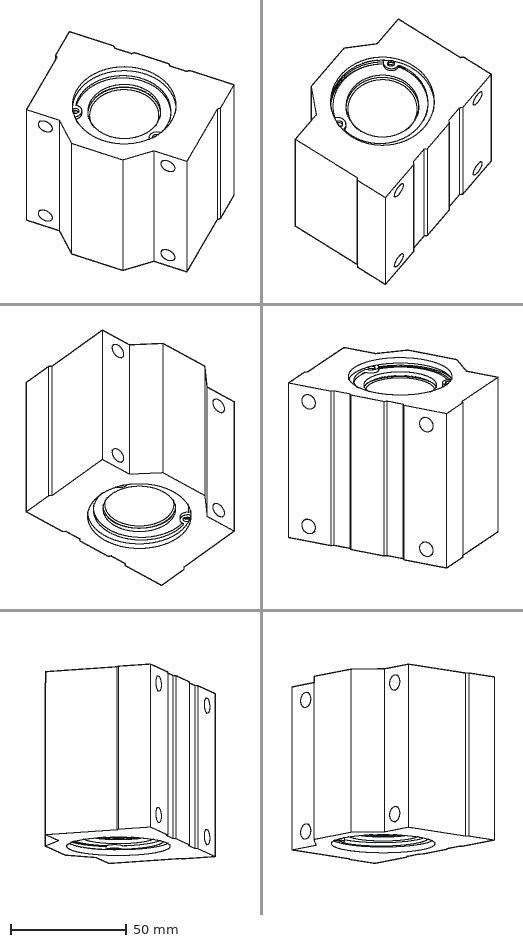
import cadquery as cq
import math


block_width = 78.0
block_depth = 59.5
block_height = 72.0
back_y = 30.0
front_y = back_y - block_depth
step = 1.0
side_step_y = 15.1
nose_half_width = 12.1
nose_depth = 10.3
groove_outer_x = 18.0
groove_inner_x = 8.1

mount_hole_diameter = 6.6
mount_hole_spacing = 58.0

bearing_diameter = 45.0
bearing_length = 63.95
bearing_chamfer_radial = 1.0
bearing_chamfer_axial = 1.7
bearing_bore = 30.0
bearing_mouth_diameter = 31.6
bearing_mouth_depth = 1.9
seal_groove_diameter = 33.2
seal_groove_width = 0.6

ring_thickness = 1.5
ring_outer_diameter = 47.5
ring_inner_radius = 20.8
ring_inner_offset = 1.3
lug_diameter = 7.0
lug_center_radius = 21.9
lug_angle = 26.0
lug_fillet = 0.6
lug_hole_diameter = 3.0
lug_hole_radius = 21.2

ring_bottom_z = bearing_length / 2


def on_lug_line(radius, side):
    """Point at a radius on the line through the lug on one side (-1 or 1)."""
    angle = math.radians(lug_angle)
    return (side * radius * math.cos(angle), -radius * math.sin(angle))


def disc(diameter, bottom_z, height):
    return cq.Workplane("XY", origin=(0, 0, bottom_z)).circle(diameter / 2).extrude(height)


def make_block():
    half_width = block_width / 2
    waist = half_width - step
    shoulder_y = front_y + nose_depth
    right_half = [
        (groove_inner_x, back_y),
        (groove_inner_x + step, back_y - step),
        (groove_outer_x - step, back_y - step),
        (groove_outer_x, back_y),
        (half_width, back_y),
        (half_width, side_step_y),
        (waist, side_step_y - step),
        (waist, shoulder_y),
        (nose_half_width + nose_depth, shoulder_y),
        (nose_half_width, front_y),
    ]
    left_half = [(-x, y) for x, y in reversed(right_half)]
    return (
        cq.Workplane("XY", origin=(0, 0, -block_height / 2))
        .polyline(right_half + left_half)
        .close()
        .extrude(block_height)
    )


def make_housing():
    bore = disc(bearing_diameter, -block_height / 2, block_height)
    top_groove = disc(ring_outer_diameter, ring_bottom_z, ring_thickness)
    bottom_groove = top_groove.mirror("XY")
    mount_holes = (
        cq.Workplane("XZ", origin=(0, back_y, 0))
        .rarray(mount_hole_spacing, mount_hole_spacing, 2, 2)
        .circle(mount_hole_diameter / 2)
        .extrude(block_depth)
    )
    return make_block().cut(bore).cut(top_groove).cut(bottom_groove).cut(mount_holes)


def make_bearing():
    radius = bearing_diameter / 2
    face_radius = radius - bearing_chamfer_radial
    face_z = bearing_length / 2
    chamfer_z = face_z - bearing_chamfer_axial
    body = (
        cq.Workplane("XZ")
        .polyline([
            (0, -face_z),
            (face_radius, -face_z),
            (radius, -chamfer_z),
            (radius, chamfer_z),
            (face_radius, face_z),
            (0, face_z),
        ])
        .close()
        .revolve(360, (0, 0, 0), (0, 1, 0))
    )
    bore = disc(bearing_bore, -face_z, bearing_length)
    mouth_floor_z = face_z - bearing_mouth_depth
    mouth = disc(bearing_mouth_diameter, mouth_floor_z, bearing_mouth_depth)
    seal_groove = disc(seal_groove_diameter, mouth_floor_z - seal_groove_width, seal_groove_width)
    recess = mouth.union(seal_groove)
    return body.cut(bore).cut(recess).cut(recess.mirror("XY"))


def make_retaining_ring():
    """Upper ring: an open eccentric band with a drilled lug at each end."""
    plane = cq.Workplane("XY", origin=(0, 0, ring_bottom_z))
    envelope = disc(ring_outer_diameter, ring_bottom_z, ring_thickness)
    inside = plane.center(0, -ring_inner_offset).circle(ring_inner_radius).extrude(ring_thickness)
    opening = (
        plane.polyline([
            (0, 0),
            on_lug_line(2 * ring_outer_diameter, -1),
            on_lug_line(2 * ring_outer_diameter, 1),
        ])
        .close()
        .extrude(ring_thickness)
    )
    lug_centers = [on_lug_line(lug_center_radius, side) for side in (-1, 1)]
    lug_holes = [on_lug_line(lug_hole_radius, side) for side in (-1, 1)]
    lugs = plane.pushPoints(lug_centers).circle(lug_diameter / 2).extrude(ring_thickness)
    lugs = lugs.intersect(envelope)
    ring = envelope.cut(inside).cut(opening).union(lugs)

    for side in (-1, 1):
        corner_x, corner_y = lug_band_corner(side)
        corner = cq.selectors.NearestToPointSelector(
            (corner_x, corner_y, ring_bottom_z + ring_thickness / 2)
        )
        ring = ring.edges("|Z").edges(corner).fillet(lug_fillet)
    return ring.cut(plane.pushPoints(lug_holes).circle(lug_hole_diameter / 2).extrude(ring_thickness))


def lug_band_corner(side):
    """Upper crossing of the lug circle with the inner edge of the band."""
    lug_x, lug_y = on_lug_line(lug_center_radius, 1)
    rise = lug_y + ring_inner_offset
    distance = math.hypot(lug_x, rise)
    lug_radius = lug_diameter / 2
    cosine = (ring_inner_radius**2 + distance**2 - lug_radius**2) / (2 * ring_inner_radius * distance)
    angle = math.atan2(rise, lug_x) + math.acos(cosine)
    return (
        side * ring_inner_radius * math.cos(angle),
        ring_inner_radius * math.sin(angle) - ring_inner_offset,
    )


housing = make_housing()
bearing = make_bearing()
top_ring = make_retaining_ring()
retaining_rings = []
for ring in (top_ring, top_ring.mirror("XY")):
    retaining_rings.append(ring.val())

result = cq.Compound.makeCompound([housing.val(), bearing.val(), *retaining_rings])